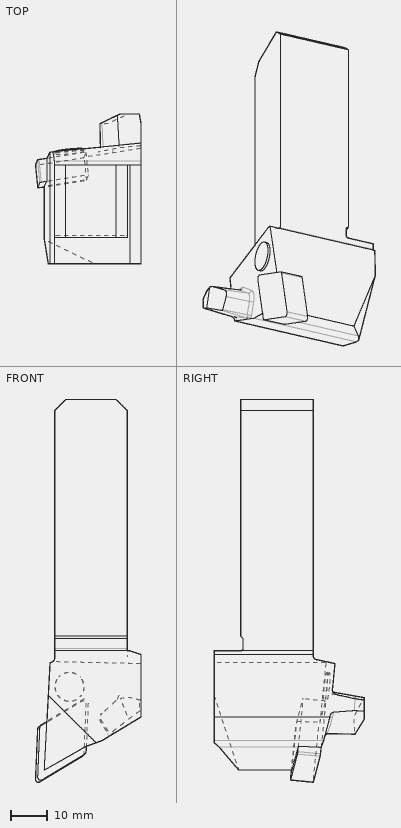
import cadquery as cq
import math


shank_size = 20.0
shank_top = 105.0
shank_end_chamfer = 3.0
relief_top = 40.1
relief_depth = 0.6

head_front = -7.2
head_right = 23.7
right_shoulder_start = 20.7
head_top = 36.1
right_shoulder_drop = 1.0
right_shoulder_bottom = 18.0
left_fillet = 1.3
left_shoulder = 32.9
head_left = -left_fillet
nose = (-2.8, 3.4)
step_inner = (8.4, 9.8)
step_outer = (13.0, 11.4)
rear_shoulder_top = 33.9
rear_shoulder_slope = 0.22
rear_shoulder_fillet = 1.0
cutter_width = 210.0
clearance = 15.8

corner_left = (-1.6, head_front, 23.7)
corner_right = (11.2, head_front, 11.0)
corner_tip = (nose[0], -0.5, nose[1])

rear_plane = cq.Plane(origin=(0, 20.4, 0), xDir=(1, 0.1, 0), normal=(0.1, -1, 0.097))

insert_tip = (-5.4, -0.68)
insert_side = 15.8
insert_thickness = 6.3
insert_edge_angle = 31.0
insert_point_angle = 56.0
insert_corner_radius = 0.8

lug_rear = 33.9
lug_overhang = 25.2
lug_peak = (18.1, 24.4)
lug_crest = (21.0, 25.0)
lug_crest_end = 23.9
lug_nose = (12.1, 18.8)
lug_nose_radius = 5.1 / 2
lug_heel = (15.6, 13.0)
lug_heel_radius = 0.8
lug_base_end = 20.2
lug_ramp_point = (18.0, lug_rear, 23.3)
lug_ramp_normal = (-0.36, 1, -0.14)
lug_draft = 4.5
lug_root_fillet = 0.9
root_box_low = (11.5, 20, 12.6)
root_box_high = (head_right - 0.2, 26.8, 26.2)
lower_edge_box_low = (17.3, 20, 13.6)
lower_edge_box_high = (21, 27.3, 15.1)

disc_diameter = 8.0
disc_center = (4.4, 26.4)
disc_height = 0.6


def make_shank():
    shank = cq.Workplane("XY").workplane(offset=left_shoulder).rect(shank_size, shank_size, centered=False)
    shank = shank.extrude(shank_top - left_shoulder)
    shank = shank.faces(">Z").edges("|Y").chamfer(shank_end_chamfer)
    relief = (
        cq.Workplane("YZ")
        .moveTo(0, relief_top)
        .lineTo(relief_depth, relief_top - relief_depth)
        .lineTo(relief_depth, head_top + relief_depth)
        .radiusArc((0, head_top), relief_depth)
        .close()
        .extrude(shank_size)
    )
    return shank.cut(relief)


def make_head():
    blank = (
        cq.Workplane("XZ", origin=(0, head_front, 0))
        .moveTo(*nose)
        .lineTo(*step_inner)
        .lineTo(*step_outer)
        .lineTo(head_right, right_shoulder_bottom)
        .lineTo(head_right, head_top - right_shoulder_drop)
        .lineTo(right_shoulder_start, head_top)
        .lineTo(0, head_top)
        .lineTo(0, left_shoulder + left_fillet)
        .radiusArc((head_left, left_shoulder), left_fillet)
        .close()
        .extrude(head_front - shank_size - clearance)
    )
    shoulder_end = shank_size + clearance
    fillet_end = (
        shank_size + rear_shoulder_fillet,
        rear_shoulder_top - rear_shoulder_slope * rear_shoulder_fillet,
    )
    above_shoulder = (
        cq.Workplane("YZ", origin=(head_left - clearance, 0, 0))
        .moveTo(shank_size, head_top + clearance)
        .lineTo(shank_size, rear_shoulder_top + rear_shoulder_fillet)
        .radiusArc(fillet_end, -rear_shoulder_fillet)
        .lineTo(shoulder_end, rear_shoulder_top - rear_shoulder_slope * clearance)
        .lineTo(shoulder_end, head_top + clearance)
        .close()
        .extrude(head_right - head_left + 2 * clearance)
    )
    behind_face = cq.Workplane(rear_plane).rect(cutter_width, cutter_width).extrude(-2 * clearance)
    return blank.cut(above_shoulder).cut(behind_face)


def make_corner_cut():
    left = cq.Vector(*corner_left)
    right = cq.Vector(*corner_right)
    tip = cq.Vector(*corner_tip)
    outward = (tip - left).cross(right - left)
    plane = cq.Plane(origin=left.toTuple(), xDir=(right - left).toTuple(), normal=outward.toTuple())
    return cq.Workplane(plane).rect(cutter_width, cutter_width).extrude(clearance)


def make_insert():
    lower_angle = math.radians(insert_edge_angle)
    left_angle = math.radians(insert_edge_angle + insert_point_angle)
    lower = (insert_side * math.cos(lower_angle), insert_side * math.sin(lower_angle))
    left = (insert_side * math.cos(left_angle), insert_side * math.sin(left_angle))
    return (
        cq.Workplane(rear_plane)
        .moveTo(*insert_tip)
        .line(*lower)
        .line(*left)
        .line(-lower[0], -lower[1])
        .close()
        .extrude(insert_thickness)
        .edges(cq.selectors.ParallelDirSelector(rear_plane.zDir))
        .fillet(insert_corner_radius)
    )


def make_lug():
    crest_end = (lug_overhang, lug_crest_end)
    base_end = (lug_overhang, lug_base_end)
    outline = (
        cq.Sketch()
        .segment(lug_nose, lug_peak)
        .arc(lug_peak, lug_crest, crest_end)
        .segment(crest_end, base_end)
        .segment(base_end, lug_heel)
        .segment(lug_heel, lug_nose)
        .assemble()
        .vertices("<X")
        .fillet(lug_nose_radius)
        .reset()
        .vertices("<Y")
        .fillet(lug_heel_radius)
    )
    lug = cq.Workplane(rear_plane).placeSketch(outline).extrude(-clearance, taper=lug_draft)
    envelope = cq.Workplane("XY").rect(head_right, lug_rear, centered=False).extrude(shank_top)
    ramp = cq.Workplane(cq.Plane(origin=lug_ramp_point, xDir=(0, -lug_ramp_normal[2], 1), normal=lug_ramp_normal))
    beyond_ramp = ramp.rect(cutter_width, cutter_width).extrude(clearance)
    return lug.intersect(envelope).cut(beyond_ramp)


def add_root_fillet(body):
    near_root = cq.selectors.BoxSelector(root_box_low, root_box_high)
    head_lower_edge = cq.selectors.BoxSelector(lower_edge_box_low, lower_edge_box_high)
    return body.edges(near_root - head_lower_edge).fillet(lug_root_fillet)


def make_disc():
    return cq.Workplane(rear_plane).center(*disc_center).circle(disc_diameter / 2).extrude(-disc_height)


insert = make_insert()
holder = add_root_fillet(make_head().union(make_lug()))
holder = holder.union(make_shank()).union(make_disc())
holder = holder.cut(make_corner_cut()).cut(insert)

result = cq.Compound.makeCompound([holder.val(), insert.val()])